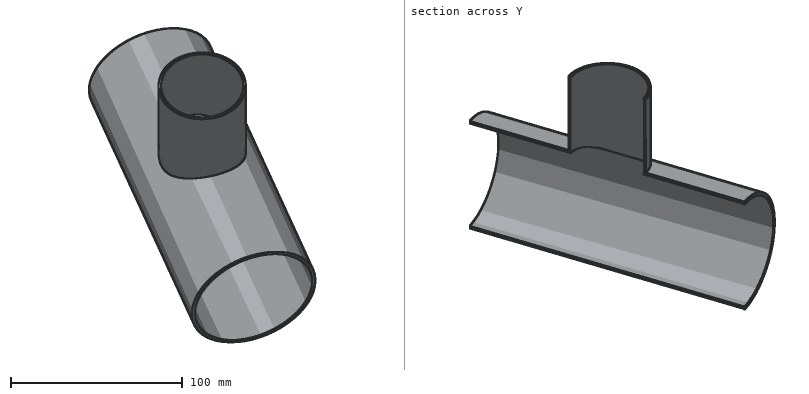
import cadquery as cq

RUN_LENGTH = 180.0
RUN_OUTER_DIAMETER = 76.3
RUN_INNER_DIAMETER = 72.3

BRANCH_OUTER_DIAMETER = 50.8
BRANCH_INNER_DIAMETER = 47.8
BRANCH_HEIGHT = RUN_LENGTH / 2


def run_cylinder(diameter):
    """Full-length cylinder along X, centred on the origin."""
    return cq.Workplane("YZ").circle(diameter / 2).extrude(RUN_LENGTH / 2, both=True)


def branch_cylinder(diameter):
    """Cylinder along Z, from the run axis to the open end of the branch."""
    return cq.Workplane("XY").circle(diameter / 2).extrude(BRANCH_HEIGHT)


outer_body = run_cylinder(RUN_OUTER_DIAMETER).union(branch_cylinder(BRANCH_OUTER_DIAMETER))
result = outer_body.cut(run_cylinder(RUN_INNER_DIAMETER)).cut(branch_cylinder(BRANCH_INNER_DIAMETER))